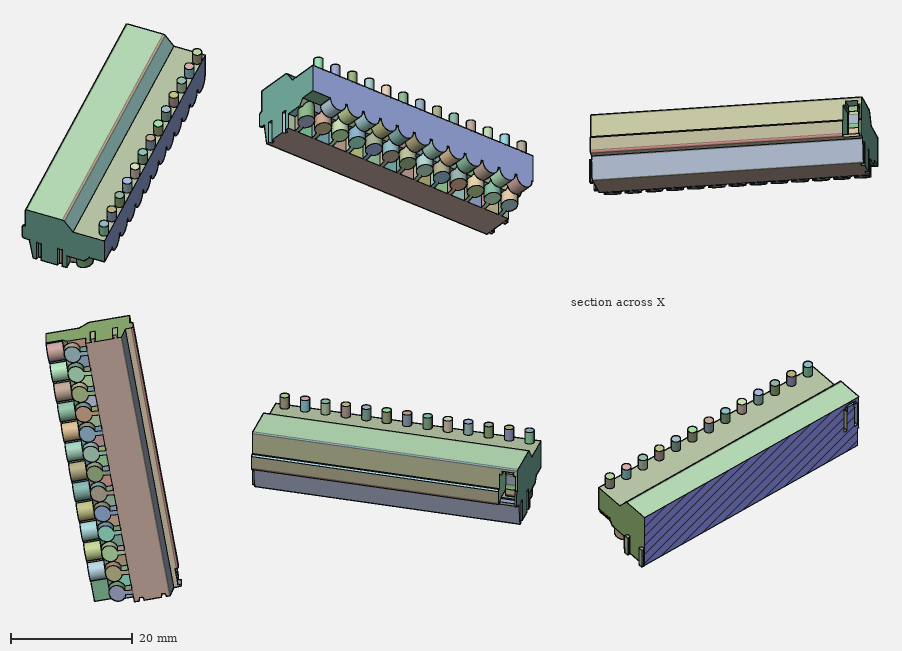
import cadquery as cq
import math

pole_count = 13
pole_pitch = 3.5
body_length = pole_count * pole_pitch
total_length = 46.1
total_width = 14.6
total_height = 11.1

upper_left = 0.55
ledge_bottom = 3.9
ledge_corner_top = 4.6
ledge_corner_bottom = 4.2
ledge_corner_run = 0.3
ledge_top = 7.1
ledge_chamfer = 0.28
ledge_underside = 4.05
lower_left_top = 1.3
lower_left_bottom = 1.95
lower_right = 7.93
underside_step = 2.8
underside_step_end = 11.05
underside_slope_end = 11.85
roof_end = 7.35
shoulder_start = 9.05
shoulder_height = 8.95
roof_edge_radius = 0.25
roof_slope_radius = 0.45
base_edge_radius = 0.1

pin_diameter = 1.55
sleeve_diameter = 3.15
sleeve_axis_height = 3.8
funnel_diameter = 2.75
funnel_right = underside_slope_end
funnel_web = 0.75
funnel_cut_angle = 14.0

key_centers = (2.95, 6.7)
key_height = ledge_bottom
key_wide = 0.85
key_narrow = 0.5
key_depth = total_length - body_length
key_head = 0.25

pocket_near = 0.3
pocket_far = 3.15
pocket_top = 9.75
pocket_floor = 4.6
pocket_step = 4.85
pocket_step_start = 1.65
pocket_back = 4.6
notch_top = 10.45
notch_near = 0.7
notch_far = 2.7

contact_front = 2.1
contact_waist = 2.3
contact_near = 0.88
contact_far = 2.55
contact_neck_near = 1.0
contact_neck_far = 2.5
contact_top = 10.15
contact_neck_bottom = 9.15
waist_top = 8.7
waist_bottom = 7.1
contact_bulge_top = 6.25
contact_bulge_bottom = 5.3
contact_foot = 4.95
contact_foot_front = 2.3


def box(x_range, y_range, z_range):
    (x0, x1), (y0, y1), (z0, z1) = x_range, y_range, z_range
    return cq.Workplane("XY").box(x1 - x0, y1 - y0, z1 - z0, centered=False).translate((x0, y0, z0))


def extrude_along_y(profile, start, length):
    return profile.extrude(-length).translate((0, start, 0))


def make_body():
    profile = (
        cq.Workplane("XZ")
        .moveTo(lower_left_bottom, 0)
        .lineTo(lower_right, 0)
        .lineTo(lower_right, underside_step)
        .lineTo(underside_step_end, underside_step)
        .lineTo(underside_slope_end, ledge_bottom)
        .lineTo(total_width, ledge_bottom)
        .lineTo(total_width, shoulder_height)
        .lineTo(shoulder_start, shoulder_height)
        .lineTo(roof_end, total_height)
        .lineTo(upper_left, total_height)
        .lineTo(upper_left, ledge_top)
        .lineTo(ledge_chamfer, ledge_top)
        .lineTo(0, ledge_top - ledge_chamfer)
        .lineTo(0, ledge_corner_top)
        .tangentArcPoint((ledge_corner_run, ledge_corner_bottom), relative=False)
        .lineTo(lower_left_top, ledge_underside)
        .lineTo(lower_left_top, ledge_bottom)
        .close()
    )
    body = extrude_along_y(profile, 0, body_length)
    middle = body_length / 2
    rounded_edges = (
        (upper_left, total_height, roof_edge_radius),
        (roof_end, total_height, roof_slope_radius),
        (lower_left_bottom, 0, base_edge_radius),
    )
    for x, z, radius in rounded_edges:
        body = body.edges(cq.NearestToPointSelector((x, middle, z))).fillet(radius)
    return body


def make_pole(y):
    """Solder pin on the shoulder and slant-cut wire funnel on the underside."""
    pin = (
        cq.Workplane("XY", origin=(total_width - pin_diameter / 2, y, shoulder_height))
        .circle(pin_diameter / 2)
        .extrude(total_height - shoulder_height)
    )
    funnel_x = funnel_right - funnel_diameter / 2
    funnel = cq.Workplane("XY", origin=(funnel_x, y, 0)).circle(funnel_diameter / 2).extrude(ledge_bottom)
    web_range = (y - funnel_web / 2, y + funnel_web / 2)
    funnel = funnel.union(box((lower_right, funnel_x), web_range, (0, underside_step)))
    cut_run = funnel_right - lower_right
    wedge = (
        cq.Workplane("XZ")
        .moveTo(lower_right, 0)
        .lineTo(funnel_right, 0)
        .lineTo(funnel_right, cut_run * math.tan(math.radians(funnel_cut_angle)))
        .close()
    )
    funnel = funnel.cut(extrude_along_y(wedge, y - funnel_diameter / 2, funnel_diameter))
    return pin.union(funnel)


def make_sleeve(y):
    """Half-round sleeve hanging from the underside of the right overhang."""
    radius = sleeve_diameter / 2
    return (
        cq.Workplane("YZ", origin=(funnel_right, y, 0))
        .moveTo(-radius, ledge_bottom)
        .lineTo(-radius, sleeve_axis_height)
        .threePointArc((0, sleeve_axis_height - radius), (radius, sleeve_axis_height))
        .lineTo(radius, ledge_bottom)
        .close()
        .extrude(total_width - funnel_right)
    )


def make_key(x):
    """Dovetail key on the far end, narrow at the body and wide at its head."""
    return (
        cq.Workplane("XY", origin=(x, body_length, 0))
        .moveTo(-key_narrow / 2, 0)
        .lineTo(key_narrow / 2, 0)
        .lineTo(key_wide / 2, key_depth - key_head)
        .lineTo(key_wide / 2, key_depth)
        .lineTo(-key_wide / 2, key_depth)
        .lineTo(-key_wide / 2, key_depth - key_head)
        .close()
        .extrude(key_height)
    )


def make_pocket():
    ys = (pocket_near, pocket_far)
    pocket = box((0, pocket_step_start), ys, (pocket_floor, pocket_top))
    pocket = pocket.union(box((0, pocket_back), ys, (pocket_step, pocket_top)))
    pocket = pocket.union(box((0, upper_left), ys, (ledge_bottom, ledge_top)))
    return pocket.union(box((0, pocket_back), (notch_near, notch_far), (pocket_top, notch_top)))


def blend_radius(drop):
    """Radius of an arc, vertical at one end, joining the contact's front and waist over this drop."""
    run = contact_waist - contact_front
    return (run**2 + drop**2) / (2 * run)


def make_contact():
    profile = (
        cq.Workplane("XZ")
        .moveTo(pocket_back, contact_neck_bottom)
        .lineTo(contact_front, contact_neck_bottom)
        .radiusArc((contact_waist, waist_top), blend_radius(contact_neck_bottom - waist_top))
        .lineTo(contact_waist, waist_bottom)
        .radiusArc((contact_front, contact_bulge_top), blend_radius(waist_bottom - contact_bulge_top))
        .lineTo(contact_front, contact_bulge_bottom)
        .tangentArcPoint((contact_foot_front, contact_foot), relative=False)
        .lineTo(contact_foot_front, pocket_step)
        .lineTo(pocket_back, pocket_step)
        .close()
    )
    blade = extrude_along_y(profile, contact_near, contact_far - contact_near)
    neck = box(
        (contact_front, pocket_back),
        (contact_neck_near, contact_neck_far),
        (contact_neck_bottom, contact_top),
    )
    return blade.union(neck)


def make_groove(x):
    """Tapered slot in the near end, wide at the mouth."""
    return (
        cq.Workplane("XY", origin=(x, 0, 0))
        .moveTo(-key_wide / 2, 0)
        .lineTo(key_wide / 2, 0)
        .lineTo(key_narrow / 2, key_depth)
        .lineTo(-key_narrow / 2, key_depth)
        .close()
        .extrude(key_height)
    )


result = make_body().cut(make_pocket()).union(make_contact())
for index in range(pole_count):
    pole_y = (index + 0.5) * pole_pitch
    result = result.union(make_pole(pole_y))
    if index > 0:
        result = result.union(make_sleeve(pole_y))
for key_x in key_centers:
    result = result.union(make_key(key_x)).cut(make_groove(key_x))